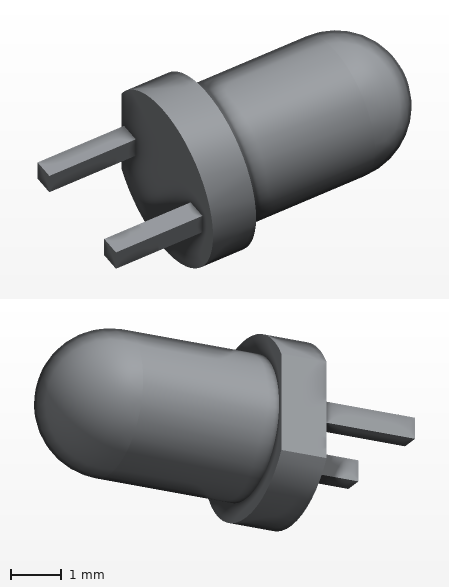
import cadquery as cq
import math

overall_length = 7.5

lens_diameter = 3.0
lens_radius = lens_diameter / 2
barrel_length = 3.0

flange_diameter = 3.8
flange_radius = flange_diameter / 2
flange_width = 3.5
flange_thickness = 1.0
flat_distance = flange_width - flange_radius

lead_width = 0.45
lead_pitch = 2.54
lead_length = overall_length - flange_thickness - barrel_length - lens_radius


def make_housing():
    """Domed lens and flatted flange in one piece."""
    dome_start = flange_thickness + barrel_length
    dome_tip = dome_start + lens_radius
    dome_mid = lens_radius * math.sqrt(0.5)

    body = (
        cq.Workplane("XY")
        .lineTo(flange_radius, 0)
        .lineTo(flange_radius, flange_thickness)
        .lineTo(lens_radius, flange_thickness)
        .lineTo(lens_radius, dome_start)
        .threePointArc((dome_mid, dome_start + dome_mid), (0, dome_tip))
        .close()
        .revolve(360, (0, 0, 0), (0, 1, 0))
    )

    flat_cutter = cq.Workplane("XY").box(
        flange_radius,
        flange_thickness,
        2 * flange_radius,
        centered=(False, False, True),
    ).translate((-flat_distance - flange_radius, 0, 0))
    return body.cut(flat_cutter)


def make_lead(x_center):
    """Square lead that stands on the flange face and runs to -Y."""
    return (
        cq.Workplane("XY")
        .box(lead_width, lead_length, lead_width)
        .translate((x_center, -lead_length / 2, 0))
    )


housing = make_housing()
leads = []
for side in (-1, 1):
    leads.append(make_lead(side * lead_pitch / 2))

result = cq.Compound.makeCompound([housing.val(), *[lead.val() for lead in leads]])